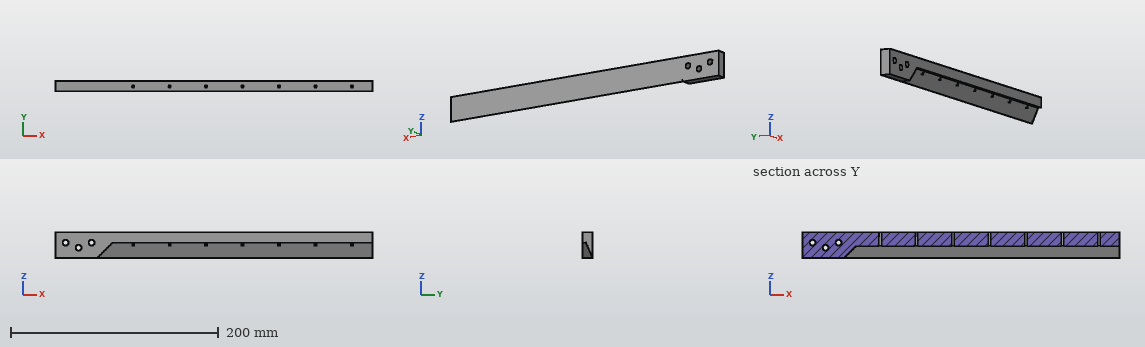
import cadquery as cq

LENGTH = 305.0
THICKNESS = 10.0
HEIGHT = 25.0

RAIL_HEIGHT = 10.0
LEDGE_Z = HEIGHT - RAIL_HEIGHT
LEDGE_DEPTH = THICKNESS / 3
LUG_LENGTH = 40.0

LUG_HOLE_DIAMETER = 5.5
LUG_HOLE_FIRST_X = 9.8
LUG_HOLE_SPACING = 12.5
LUG_HOLE_DROP = 5.0

RAIL_HOLE_COUNT = 7
RAIL_HOLE_DIAMETER = 2.0
RAIL_HOLE_DEPTH = 13.0
RAIL_HOLE_FIRST_X = 74.7
RAIL_HOLE_PITCH = 35.0


def make_relief():
    """Sloped-wall relief, closed toward the lug by a 45 degree end face."""
    wedge = (
        cq.Workplane("YZ")
        .polyline([
            (0, 0),
            (THICKNESS, 0),
            (LEDGE_DEPTH, LEDGE_Z),
            (0, LEDGE_Z),
        ])
        .close()
        .extrude(LENGTH)
    )
    side_outline = (
        cq.Workplane("XZ")
        .polyline([
            (LUG_LENGTH, 0),
            (LENGTH, 0),
            (LENGTH, LEDGE_Z),
            (LUG_LENGTH + LEDGE_Z, LEDGE_Z),
        ])
        .close()
        .extrude(-THICKNESS)
    )
    return wedge.intersect(side_outline)


def make_lug_holes():
    """Three through holes along Y in a shallow V."""
    centers = [
        (LUG_HOLE_FIRST_X, LEDGE_Z),
        (LUG_HOLE_FIRST_X + LUG_HOLE_SPACING, LEDGE_Z - LUG_HOLE_DROP),
        (LUG_HOLE_FIRST_X + 2 * LUG_HOLE_SPACING, LEDGE_Z),
    ]
    return (
        cq.Workplane("XZ")
        .pushPoints(centers)
        .circle(LUG_HOLE_DIAMETER / 2)
        .extrude(-THICKNESS)
    )


def make_rail_holes():
    """Evenly spaced blind holes from the top face; each breaks out through the sloping wall."""
    centers = [
        (RAIL_HOLE_FIRST_X + i * RAIL_HOLE_PITCH, THICKNESS / 2)
        for i in range(RAIL_HOLE_COUNT)
    ]
    return (
        cq.Workplane("XY", origin=(0, 0, HEIGHT))
        .pushPoints(centers)
        .circle(RAIL_HOLE_DIAMETER / 2)
        .extrude(-RAIL_HOLE_DEPTH)
    )


bar = cq.Workplane("XY").box(LENGTH, THICKNESS, HEIGHT, centered=False)
result = bar.cut(make_relief()).cut(make_lug_holes()).cut(make_rail_holes())